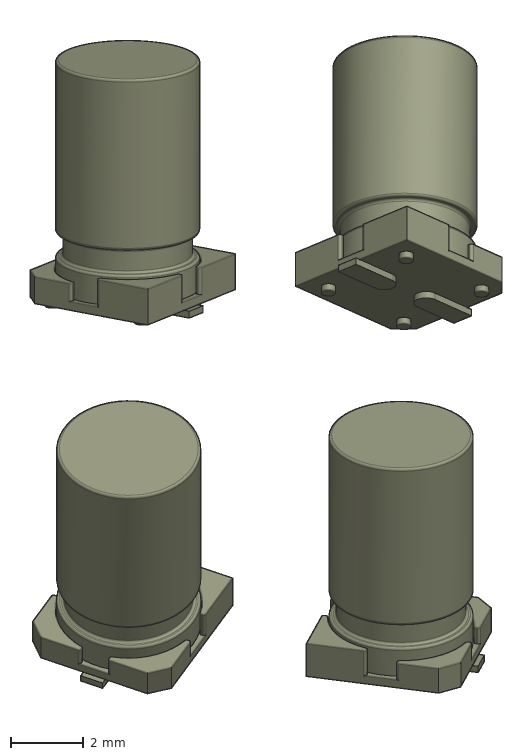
import cadquery as cq

total_height = 7.0
base_size = 4.3
lead_span = 4.6

can_radius = 2.0
neck_radius = 1.8
lower_shoulder_z = 1.355
upper_shoulder_z = 2.06
can_fillet = 0.075

base_bottom_z = 0.2
plate_top_z = 0.47
low_corner_z = 0.985
high_corner_z = 1.25
corner_chamfer = 0.5
seat_radius = 2.03
notch_width = 0.85
notch_end_fillet = 0.075
edge_fillet = 0.02

foot_diameter = 0.4
foot_spacing = 3.0
lead_width = 0.68
lead_tip_gap = 1.0


def make_can():
    """Turned can with rounded top rim and rounded groove shoulders and groove corners."""
    can = (
        cq.Workplane("XY")
        .workplane(offset=plate_top_z)
        .circle(can_radius)
        .extrude(total_height - plate_top_z)
    )
    groove = (
        cq.Workplane("XY")
        .workplane(offset=lower_shoulder_z)
        .circle(can_radius)
        .circle(neck_radius)
        .extrude(upper_shoulder_z - lower_shoulder_z)
    )
    return can.cut(groove).edges("%CIRCLE and (not <Z)").fillet(can_fillet)


def make_plate():
    """Flat part of the base; its top shows as the floor of the four side notches."""
    plate = (
        cq.Workplane("XY")
        .workplane(offset=base_bottom_z)
        .rect(base_size, base_size)
        .extrude(plate_top_z - base_bottom_z)
        .edges("|Z and <X")
        .chamfer(corner_chamfer)
    )
    return plate.faces("<Z or >Z").edges().fillet(edge_fillet)


def make_corner(top_z, chamfer=0):
    """Raised corner in the +X +Y quadrant, hollowed by the can seat, with its ends and top rounded."""
    half_notch = notch_width / 2
    side = base_size / 2 - half_notch
    bottom_z = base_bottom_z + edge_fillet
    seat = cq.Workplane("XY").workplane(offset=bottom_z).circle(seat_radius).extrude(total_height)
    corner = (
        cq.Workplane("XY")
        .box(side, side, top_z - bottom_z, centered=False)
        .translate((half_notch, half_notch, bottom_z))
    )
    if chamfer:
        corner = corner.edges("|Z and >X and >Y").chamfer(chamfer)
    corner = corner.cut(seat)
    corner = corner.edges("|Z and (<X or <Y)").fillet(notch_end_fillet)
    return corner.faces(">Z").edges().fillet(edge_fillet)


def make_base():
    base = make_plate()
    high_corner = make_corner(high_corner_z)
    low_corner = make_corner(low_corner_z, corner_chamfer).mirror("YZ")
    for corner in (high_corner, low_corner):
        base = base.union(corner).union(corner.mirror("XZ"))
    return base


def make_feet():
    return (
        cq.Workplane("XY")
        .rect(foot_spacing, foot_spacing, forConstruction=True)
        .vertices()
        .circle(foot_diameter / 2)
        .extrude(base_bottom_z)
        .faces("<Z")
        .edges()
        .fillet(edge_fillet)
    )


def make_lead():
    """Flat lead on the +X side with a fully rounded inner end."""
    half_width = lead_width / 2
    tip_x = lead_tip_gap / 2
    round_center_x = tip_x + half_width
    return (
        cq.Workplane("XY")
        .moveTo(lead_span / 2, -half_width)
        .lineTo(lead_span / 2, half_width)
        .lineTo(round_center_x, half_width)
        .threePointArc((tip_x, 0), (round_center_x, -half_width))
        .close()
        .extrude(base_bottom_z)
    )


lead = make_lead()
result = make_base().union(make_can()).union(make_feet())
result = result.union(lead).union(lead.mirror("YZ"))